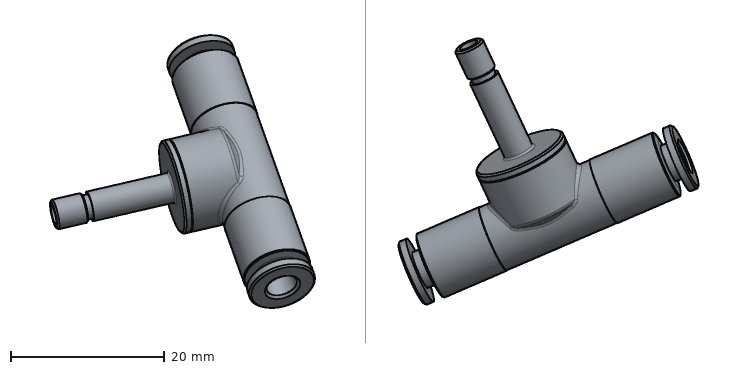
import cadquery as cq
import math


tube_radius = 4.5
sleeve_radius = 4.55
sleeve_start = 7.9
sleeve_end = 17.2
sleeve_chamfer = 0.15
sleeve_edge_chamfer_end = 17.0
sleeve_face_radius = 3.4
seam_chamfer = 0.05

run_half_length = 19.6
collet_neck_radius = 2.55
flange_radius = 4.5
flange_thickness = 1.2
flange_chamfer = 0.25

run_bore_radius = 1.5
socket_radius = 2.05
socket_mouth_radius = 2.4
socket_stop = sleeve_start
socket_stop_half_angle = 60.0

branch_radius = 6.25
branch_shoulder = 1.55
shoulder_slope_angle = 33.0
shoulder_round = 0.5
branch_end = 8.45
branch_end_chamfer = 0.12
junction_fillet = 0.5

cap_end = 9.45
cap_chamfer = 0.25

stem_radius = 2.0
stem_end = 25.5
stem_root_fillet = 0.3
stem_tip_chamfer = 0.25
groove_radius = 1.65
groove_start = 20.55
groove_end = 21.3
groove_far_chamfer = 0.2
stem_bore_radius = 1.25

selection_margin = 0.1


def turned_about_x(points):
    """Revolve an (x, radius) profile about the X axis."""
    profile = cq.Workplane("XY").polyline(points).close()
    return profile.revolve(360, (0, 0, 0), (1, 0, 0))


def turned_about_stem(points):
    """Revolve a (radius, distance along -Y) profile about the Y axis."""
    profile = cq.Workplane("XY").polyline([(r, -d) for r, d in points]).close()
    return profile.revolve(360, (0, 0, 0), (0, 1, 0))


def on_both_ends(solid):
    return solid.union(solid.mirror("YZ"))


def branch_body():
    """Drum with a conical shoulder that slopes down into the run."""
    apex = branch_shoulder - branch_radius * math.tan(math.radians(shoulder_slope_angle))
    drum = turned_about_stem([
        (0, apex),
        (branch_radius, branch_shoulder),
        (branch_radius, branch_end - branch_end_chamfer),
        (branch_radius - branch_end_chamfer, branch_end),
        (0, branch_end),
    ])
    rim = cq.selectors.BoxSelector(
        (-branch_radius, -branch_shoulder - selection_margin, -branch_radius),
        (branch_radius, -branch_shoulder + selection_margin, branch_radius),
    )
    return drum.edges("%CIRCLE").edges(rim).fillet(shoulder_round)


def tee_core():
    """Central tube and branch, blended where they meet."""
    tube = cq.Workplane("YZ").circle(tube_radius).extrude(sleeve_start, both=True)
    core = tube.union(branch_body())
    junction = cq.selectors.BoxSelector(
        (-branch_radius - selection_margin, -tube_radius - selection_margin, -tube_radius - selection_margin),
        (branch_radius + selection_margin, 0, tube_radius + selection_margin),
    )
    return core.edges(junction).edges("not %CIRCLE").edges("not %LINE").fillet(junction_fillet)


def sleeve_and_collet():
    """End sleeve, collet neck and collet flange on the +X end."""
    flange_start = run_half_length - flange_thickness
    return turned_about_x([
        (sleeve_start, 0),
        (sleeve_start, sleeve_radius - seam_chamfer),
        (sleeve_start + seam_chamfer, sleeve_radius),
        (sleeve_edge_chamfer_end - sleeve_chamfer, sleeve_radius),
        (sleeve_edge_chamfer_end, sleeve_radius - sleeve_chamfer),
        (sleeve_end, sleeve_face_radius),
        (sleeve_end, collet_neck_radius),
        (flange_start, collet_neck_radius),
        (flange_start, flange_radius),
        (run_half_length - flange_chamfer, flange_radius),
        (run_half_length, flange_radius - flange_chamfer),
        (run_half_length, 0),
    ])


def tube_socket():
    """Tube socket on the +X end, with a chamfered mouth and a conical stop."""
    mouth_depth = socket_mouth_radius - socket_radius
    stop_length = (socket_radius - run_bore_radius) / math.tan(math.radians(socket_stop_half_angle))
    return turned_about_x([
        (socket_stop - stop_length, 0),
        (socket_stop - stop_length, run_bore_radius),
        (socket_stop, socket_radius),
        (run_half_length - mouth_depth, socket_radius),
        (run_half_length, socket_mouth_radius),
        (run_half_length, 0),
    ])


def cap_and_stem():
    """Cap ring and grooved stem, with a fillet at the stem root."""
    stem = (
        cq.Workplane("XY")
        .moveTo(0, -branch_end)
        .lineTo(branch_radius, -branch_end)
        .lineTo(branch_radius, -(cap_end - cap_chamfer))
        .lineTo(branch_radius - cap_chamfer, -cap_end)
        .lineTo(stem_radius + stem_root_fillet, -cap_end)
        .radiusArc((stem_radius, -(cap_end + stem_root_fillet)), -stem_root_fillet)
        .lineTo(stem_radius, -groove_start)
        .lineTo(groove_radius, -groove_start)
        .lineTo(groove_radius, -groove_end)
        .lineTo(stem_radius - groove_far_chamfer, -groove_end)
        .lineTo(stem_radius, -(groove_end + groove_far_chamfer))
        .lineTo(stem_radius, -(stem_end - stem_tip_chamfer))
        .lineTo(stem_radius - stem_tip_chamfer, -stem_end)
        .lineTo(0, -stem_end)
        .close()
    )
    return stem.revolve(360, (0, 0, 0), (0, 1, 0))


outside = tee_core().union(on_both_ends(sleeve_and_collet())).union(cap_and_stem())

run_bore = cq.Workplane("YZ").circle(run_bore_radius).extrude(run_half_length, both=True)
stem_bore = cq.Workplane("XZ").circle(stem_bore_radius).extrude(stem_end)

result = outside.cut(run_bore).cut(on_both_ends(tube_socket())).cut(stem_bore)